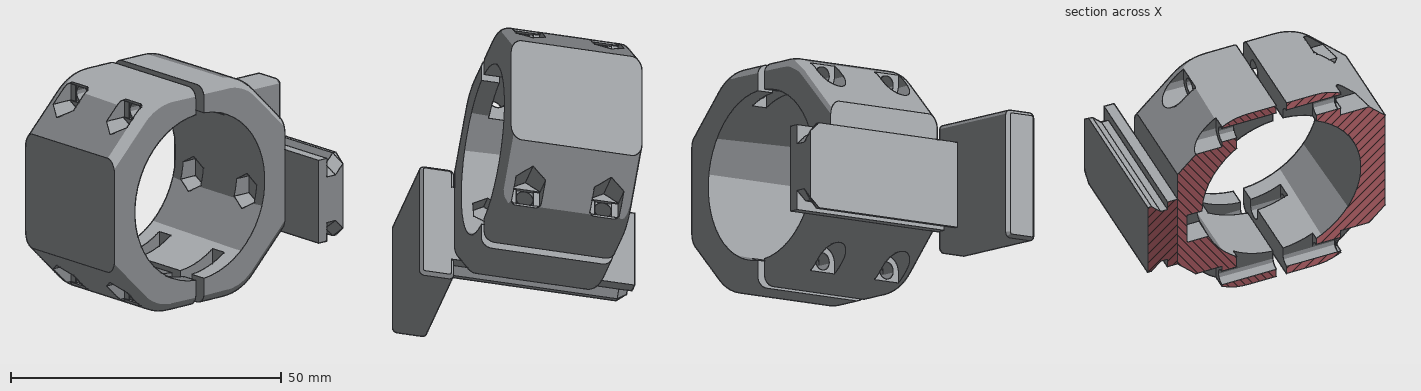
import cadquery as cq
import math

CLAMP_SIZE = 41.95
CLAMP_WIDTH = 25.0
BORE_DIAMETER = 32.0
SPLIT_GAP = 2.0
CORNER_CUT = 10.0
SHOULDER_RADIUS = 10.0
RIM_FILLET = 2.0

SCREW_DIAMETER = 3.2
SCREW_PITCH_X = 15.0
SCREW_PITCH_Z = 35.0
SEAT_DISTANCE = 12.0
HEAD_DIAMETER = 5.6
NUT_ACROSS_CORNERS = 6.5
BRIDGE_STEP = 0.3
FRONT_RELIEF_REACH = 7.0
BACK_RELIEF_REACH = 9.0

BLOCK_THICKNESS = 6.6
BLOCK_DEPTH = 21.25
BLOCK_HEIGHT = 24.1
BLOCK_FILLET = 1.0
BLOCK_CHAMFER = 0.65
RAIL_LENGTH = 34.45
RAIL_WIDTH = 16.0
PLATE_THICKNESS = 2.0
RAIL_DEPTH = 6.0
NECK_TOP = 3.4
FLARE_TOP = 5.25
BEVEL_LENGTH = 2.0
BEVEL_INSET = 1.8

BACK_NUT_SEAT = 18.95

half_size = CLAMP_SIZE / 2
half_width = CLAMP_WIDTH / 2
rail_center_z = RAIL_WIDTH / 2 - (half_size - CORNER_CUT)
nut_across_flats = NUT_ACROSS_CORNERS * math.cos(math.pi / 6)
screw_columns = (-SCREW_PITCH_X / 2, SCREW_PITCH_X / 2)
screw_rows = (-SCREW_PITCH_Z / 2, SCREW_PITCH_Z / 2)


def box(x_range, y_range, z_range):
    """Box between the given pairs of coordinates."""
    size = [high - low for low, high in (x_range, y_range, z_range)]
    corner = (x_range[0], y_range[0], z_range[0])
    return cq.Workplane("XY").box(*size, centered=False).translate(corner)


def cylinder_y(diameter, x, z, y_start, y_end):
    """Cylinder along Y."""
    base = cq.Workplane("XZ", origin=(x, y_start, z))
    return base.circle(diameter / 2).extrude(y_start - y_end)


def nut_pocket(x, z, y_start, y_end):
    """Hexagonal prism along Y, with corners pointing up and down."""
    base = cq.Workplane("XZ", origin=(x, y_start, z)).transformed(rotate=(0, 0, 90))
    return base.polygon(6, NUT_ACROSS_CORNERS).extrude(y_start - y_end)


def clamp_half(side, relief_reach):
    """Half of the clamp ring, on the -Y side (side = -1) or the +Y side (side = 1)."""
    ring = (
        cq.Workplane("YZ")
        .rect(CLAMP_SIZE, CLAMP_SIZE)
        .extrude(half_width, both=True)
        .edges("|X")
        .chamfer(CORNER_CUT)
    )
    body = ring.intersect(box(
        (-half_width, half_width),
        sorted((0, side * half_size)),
        (-half_size, half_size),
    ))
    shoulder_y = side * (half_size - CORNER_CUT)
    for z in (-half_size, half_size):
        body = body.edges(cq.selectors.NearestToPointSelector((0, shoulder_y, z))).fillet(SHOULDER_RADIUS)
    rim = body.faces("<X or >X").edges("not(<Y or >Y)")
    body = rim.fillet(RIM_FILLET)
    bore = cq.Workplane("YZ").circle(BORE_DIAMETER / 2).extrude(half_width, both=True)
    gap = box((-half_width, half_width), (-SPLIT_GAP / 2, SPLIT_GAP / 2), (-half_size, half_size))
    body = body.cut(bore).cut(gap)
    for x in screw_columns:
        for z in screw_rows:
            body = body.cut(cylinder_y(SCREW_DIAMETER, x, z, 0, side * half_size))
            body = body.cut(relief_slot(x, z, side * relief_reach))
    return body


def relief_slot(x, z, y_end):
    """Slot that opens a screw hole into the bore, next to the split."""
    return box(
        (x - SCREW_DIAMETER / 2, x + SCREW_DIAMETER / 2),
        sorted((0, y_end)),
        sorted((0, z)),
    )


def front_clamp():
    """Front half, with nut pockets that step down to the screw holes."""
    body = clamp_half(-1, FRONT_RELIEF_REACH)
    half_hole = SCREW_DIAMETER / 2
    for x in screw_columns:
        for z in screw_rows:
            body = body.cut(nut_pocket(x, z, -half_size, -SEAT_DISTANCE))
            for step, half_step_width in ((1, nut_across_flats / 2), (2, half_hole)):
                body = body.cut(box(
                    (x - half_step_width, x + half_step_width),
                    (-SEAT_DISTANCE, -SEAT_DISTANCE + step * BRIDGE_STEP),
                    (z - half_hole, z + half_hole),
                ))
    return body


def back_clamp():
    """Back half, with outward-open round-bottomed screw head seats and two nut pockets in the bore."""
    body = clamp_half(1, BACK_RELIEF_REACH)
    for x in screw_columns:
        for z in screw_rows:
            body = body.cut(cylinder_y(HEAD_DIAMETER, x, z, SEAT_DISTANCE, half_size))
            body = body.cut(box(
                (x - HEAD_DIAMETER / 2, x + HEAD_DIAMETER / 2),
                (SEAT_DISTANCE, half_size),
                sorted((z, math.copysign(half_size, z))),
            ))
        body = body.cut(nut_pocket(x, rail_center_z, 0, BACK_NUT_SEAT))
    return body


def rail_profile(x, inset):
    """Dovetail head outline at the given X, with its sides moved inward by inset."""
    half_head = RAIL_WIDTH / 2 - inset
    half_neck = half_head - (FLARE_TOP - NECK_TOP)
    corner_shift = inset * math.tan(math.pi / 8)
    right_side = [
        (PLATE_THICKNESS, half_neck),
        (NECK_TOP + corner_shift, half_neck),
        (FLARE_TOP + corner_shift, half_head),
        (RAIL_DEPTH, half_head),
    ]
    left_side = [(y, -z) for y, z in reversed(right_side)]
    return cq.Workplane("YZ", origin=(x, 0, 0)).polyline(right_side + left_side).close()


def rail():
    """Plate and dovetail head along X; the head's free end is bevelled."""
    x_end = -half_width + RAIL_LENGTH
    x_start = -half_width - BLOCK_THICKNESS / 2
    x_bevel = x_end - BEVEL_LENGTH
    plate = box((x_start, x_end), (0, PLATE_THICKNESS), (-RAIL_WIDTH / 2, RAIL_WIDTH / 2))
    head = rail_profile(x_start, 0).extrude(x_bevel - x_start)
    bevel = cq.Solid.makeLoft(
        [rail_profile(x_bevel, 0).val(), rail_profile(x_end, BEVEL_INSET).val()],
        True,
    )
    return plate.union(head).union(cq.Workplane(bevel))


def mount():
    """Upright block and its rail, flat against the clamp's back face."""
    block = (
        box(
            (-half_width - BLOCK_THICKNESS, -half_width),
            (0, BLOCK_DEPTH),
            (-BLOCK_HEIGHT / 2, BLOCK_HEIGHT / 2),
        )
        .edges("|Y").fillet(BLOCK_FILLET)
        .faces("<Y or >Y").chamfer(BLOCK_CHAMFER)
    )
    return block.union(rail()).translate((0, half_size, rail_center_z))


result = cq.Compound.makeCompound([front_clamp().val(), back_clamp().val(), mount().val()])